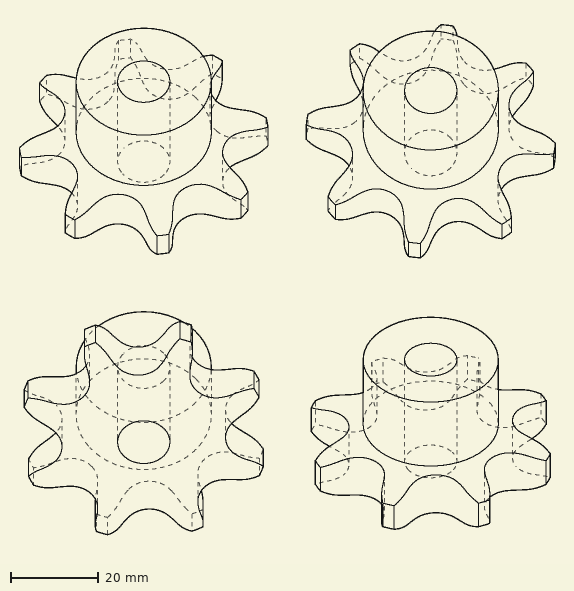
import cadquery as cq
import math


tooth_count = 8
chain_pitch = 19.05
roller_diameter = 12.1
tip_radius = 28.65
disc_thickness = 11.15
overall_height = 30.0
hub_diameter = 31.0
bore_diameter = 12.0
bevel_start_radius = 20.1
bevel_depth = 2.1

seat_ratio = 0.505
flank_center_ratio = 0.8
topping_center_ratio = 1.4

half_tooth_angle = math.pi / tooth_count
pitch_radius = chain_pitch / (2 * math.sin(half_tooth_angle))
seat_radius = seat_ratio * roller_diameter
seat_angle = math.radians(35 + 60 / tooth_count)
flank_sweep = math.radians(18 - 56 / tooth_count)
topping_angle = math.radians(17 - 64 / tooth_count)
flank_center_offset = flank_center_ratio * roller_diameter
topping_center_offset = topping_center_ratio * roller_diameter
flank_radius = seat_radius + flank_center_offset
flat_angle = seat_angle - flank_sweep
topping_radius = (
    flank_center_offset * math.cos(flank_sweep)
    + topping_center_offset * math.cos(topping_angle)
    - flank_radius
)
gap_cut_margin = 5.4
gap_cut_radius = tip_radius + gap_cut_margin


def polar(center, radius, angle):
    return (center[0] + radius * math.cos(angle), center[1] + radius * math.sin(angle))


def mirrored(point):
    return (-point[0], point[1])


def make_blank():
    """Toothless disc whose rim is rounded by arcs tangent to both flat faces."""
    radial_run = tip_radius - bevel_start_radius
    bevel_radius = (radial_run**2 + bevel_depth**2) / (2 * bevel_depth)
    half_sweep = math.asin(radial_run / bevel_radius) / 2
    mid_radius = bevel_start_radius + bevel_radius * math.sin(half_sweep)
    mid_depth = bevel_radius * (1 - math.cos(half_sweep))
    return (
        cq.Workplane("XZ")
        .lineTo(bevel_start_radius, 0)
        .threePointArc((mid_radius, mid_depth), (tip_radius, bevel_depth))
        .lineTo(tip_radius, disc_thickness - bevel_depth)
        .threePointArc(
            (mid_radius, disc_thickness - mid_depth),
            (bevel_start_radius, disc_thickness),
        )
        .lineTo(0, disc_thickness)
        .close()
        .revolve(360, (0, 0), (0, 1))
    )


def make_gap():
    """Cutter for the tooth gap centred on +Y, symmetric about the Y axis."""
    origin = (0, 0)
    roller_center = (0, pitch_radius)
    flank_center = polar(roller_center, flank_center_offset, math.pi - seat_angle)
    topping_center = polar(roller_center, topping_center_offset, -half_tooth_angle)

    seat_bottom = (0, pitch_radius - seat_radius)
    seat_end = polar(roller_center, seat_radius, -seat_angle)
    flank_mid = polar(flank_center, flank_radius, -seat_angle + flank_sweep / 2)
    flank_end = polar(flank_center, flank_radius, -flat_angle)
    topping_start = polar(topping_center, topping_radius, math.pi - flat_angle)

    center_distance = math.hypot(*topping_center)
    tip_offset_angle = math.acos(
        (tip_radius**2 + center_distance**2 - topping_radius**2)
        / (2 * tip_radius * center_distance)
    )
    tip_angle = math.atan2(topping_center[1], topping_center[0]) + tip_offset_angle
    tip = polar(origin, tip_radius, tip_angle)
    tip_direction = math.atan2(tip[1] - topping_center[1], tip[0] - topping_center[0])
    topping_mid_angle = (math.pi - flat_angle + tip_direction) / 2
    topping_mid = polar(topping_center, topping_radius, topping_mid_angle)
    outside = polar(origin, gap_cut_radius, tip_angle)

    return (
        cq.Workplane("XY")
        .moveTo(*mirrored(seat_end))
        .threePointArc(seat_bottom, seat_end)
        .threePointArc(flank_mid, flank_end)
        .lineTo(*topping_start)
        .threePointArc(topping_mid, tip)
        .lineTo(*outside)
        .lineTo(*mirrored(outside))
        .lineTo(*mirrored(tip))
        .threePointArc(mirrored(topping_mid), mirrored(topping_start))
        .lineTo(*mirrored(flank_end))
        .threePointArc(mirrored(flank_mid), mirrored(seat_end))
        .close()
        .extrude(disc_thickness)
    )


sprocket = make_blank()
gap = make_gap()
for index in range(tooth_count):
    gap_angle = index * 360 / tooth_count
    sprocket = sprocket.cut(gap.rotate((0, 0, 0), (0, 0, 1), gap_angle))

hub = cq.Workplane("XY").circle(hub_diameter / 2).extrude(overall_height)
bore = cq.Workplane("XY").circle(bore_diameter / 2).extrude(overall_height)
result = sprocket.union(hub).cut(bore)